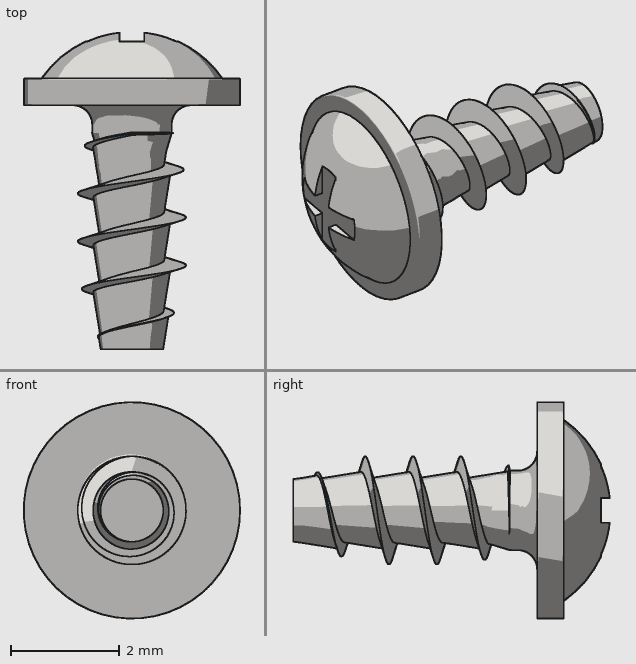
import cadquery as cq
import math


flange_radius = 2.0
flange_thickness = 0.5
flange_edge_fillet = 0.025
dome_base_radius = 1.675
head_height = 1.345
slot_width = 0.45
slot_depth = 0.165

neck_radius = 0.74
neck_length = 0.51
neck_fillet = 0.35
shank_length = 4.505
tip_radius = 0.58
tip_taper = 0.16
tip_recess_radius = 0.545
tip_recess_depth = 0.045

floor_large_radius = 0.725
floor_small_radius = 0.585
floor_share = 0.98
floor_extra_turns = 0.75
lead_cone_length = 0.51

turn_count = 4.5
tip_turns = 1.5
full_turns = 2.0
head_turns = turn_count - tip_turns - full_turns
runout_turns = 0.35
runout_rise = 0.01
start_crest_radius = 0.555
crest_radius = 1.0
head_end_crest_radius = 0.83
flank_angle = 15.0
buried_radius = 0.47
start_angle = 90.0

pitch = (shank_length - neck_length - runout_rise) / turn_count


def revolved(points):
    """Solid of revolution about Z from (radius, height) corners."""
    return cq.Workplane("XZ").polyline(points).close().revolve(360, (0, 0, 0), (0, 1, 0))


def head():
    """Round flange carrying a spherical dome with two crossed slots."""
    flange = cq.Workplane("XY").circle(flange_radius).extrude(flange_thickness)
    flange = flange.edges().fillet(flange_edge_fillet)

    corner_radius = slot_width / math.sqrt(2)
    corner_height = head_height - flange_thickness
    centre_drop = (dome_base_radius**2 - corner_radius**2 - corner_height**2) / (2 * corner_height)
    sphere_radius = math.hypot(dome_base_radius, centre_drop)
    sphere_centre = flange_thickness - centre_drop

    sphere = cq.Workplane("XY").sphere(sphere_radius).translate((0, 0, sphere_centre))
    keep_zone = (
        cq.Workplane("XY")
        .workplane(offset=flange_thickness / 2)
        .circle((dome_base_radius + flange_radius) / 2)
        .extrude(head_height)
    )
    body = flange.union(sphere.intersect(keep_zone))

    slot_length = 2 * flange_radius
    for size_x, size_y in ((slot_length, slot_width), (slot_width, slot_length)):
        slot = cq.Workplane("XY").workplane(offset=head_height - slot_depth).rect(size_x, size_y)
        body = body.cut(slot.extrude(head_height))
    return body


def neck():
    """Plain cylinder under the head, flared into the flange by a concave fillet."""
    flare_radius = neck_radius + neck_fillet
    arc_offset = neck_fillet * (1 - math.sqrt(0.5))
    overlap = flange_thickness / 2
    return (
        cq.Workplane("XZ")
        .moveTo(0, overlap)
        .lineTo(flare_radius, overlap)
        .lineTo(flare_radius, 0)
        .threePointArc((neck_radius + arc_offset, -arc_offset), (neck_radius, -neck_fillet))
        .lineTo(neck_radius, -neck_length)
        .lineTo(0, -neck_length)
        .close()
        .revolve(360, (0, 0, 0), (0, 1, 0))
    )


def helix(start, end, turns):
    """Right-handed helix edge from one (radius, height) to a higher one, starting on +X."""
    growth = end[0] - start[0]
    rise = end[1] - start[1]
    slant = math.hypot(growth, rise)
    cone = {"angle": math.degrees(math.atan2(growth, rise))} if growth else {}
    wire = cq.Wire.makeHelix(slant / turns, slant, start[0], cq.Vector(0, 0, start[1]), **cone)
    return wire.Edges()[0]


def helical_solid(start_section, end_section, angle, turns):
    """Solid bounded by helicoids joining two sections of matching (radius, height) corners."""
    edges = [helix(start, end, turns) for start, end in zip(start_section, end_section)]
    faces = [cq.Face.makeRuledSurface(edge, edges[i - 1]) for i, edge in enumerate(edges)]
    for edge_end in (0, 1):
        corners = [edge.positionAt(edge_end) for edge in edges]
        faces.append(cq.Face.makeFromWires(cq.Wire.makePolygon(corners, close=True)))
    solid = cq.Solid.makeSolid(cq.Shell.makeShell(faces)).fix()
    return cq.Workplane(obj=solid).rotate((0, 0, 0), (0, 0, 1), angle)


def floor_section(top):
    """Section of the sloping floor over one pitch."""
    bottom = top - floor_share * pitch
    return [
        (buried_radius, top),
        (floor_large_radius, top),
        (floor_small_radius, bottom),
        (buried_radius, bottom),
    ]


def shank_core():
    """Core with the helical sloping floor, a lead-in cone at the neck and a conical tip."""
    cylinder = cq.Workplane("XY").circle(floor_small_radius).extrude(-shank_length)

    floor_turns = turn_count + floor_extra_turns
    sloping_floor = helical_solid(
        floor_section(-shank_length),
        floor_section(-shank_length + floor_turns * pitch),
        start_angle,
        floor_turns,
    )

    lead_cone_end = -neck_length - lead_cone_length
    lead_cone = revolved([
        (0, -neck_length),
        (neck_radius, -neck_length),
        (floor_small_radius, lead_cone_end),
        (0, lead_cone_end),
    ])

    envelope_top_radius = tip_radius + tip_taper * (shank_length - neck_length)
    tip_envelope = revolved([
        (0, -neck_length),
        (envelope_top_radius, -neck_length),
        (tip_radius, -shank_length),
        (0, -shank_length),
    ])
    return cylinder.union(sloping_floor).union(lead_cone).intersect(tip_envelope)


def thread_section(crest, height):
    """Triangular thread section with a sharp crest."""
    half_width = (crest - buried_radius) * math.tan(math.radians(flank_angle))
    return [
        (buried_radius, height - half_width),
        (crest, height),
        (buried_radius, height + half_width),
    ]


def thread():
    """Thread that grows from the tip, runs at full size, shrinks and runs out at the neck."""
    stretches = [
        (start_crest_radius, crest_radius, tip_turns * pitch, tip_turns),
        (crest_radius, crest_radius, full_turns * pitch, full_turns),
        (crest_radius, head_end_crest_radius, head_turns * pitch, head_turns),
        (head_end_crest_radius, neck_radius, runout_rise, runout_turns),
    ]
    height = -shank_length
    angle = start_angle
    body = cq.Workplane()
    for start_crest, end_crest, rise, turns in stretches:
        start_section = thread_section(start_crest, height)
        end_section = thread_section(end_crest, height + rise)
        body = body.add(helical_solid(start_section, end_section, angle, turns))
        height += rise
        angle += 360 * turns
    return body.combine()


def shank():
    """Threaded core cut flat at the tip, with a shallow conical recess in the tip face."""
    trim_zone = cq.Workplane("XY").circle(flange_radius).extrude(-shank_length)
    below_tip = -shank_length - pitch
    recess = revolved([
        (0, tip_recess_depth - shank_length),
        (tip_recess_radius, -shank_length),
        (tip_recess_radius, below_tip),
        (0, below_tip),
    ])
    return shank_core().union(thread()).intersect(trim_zone).cut(recess)


screw = head().union(neck()).union(shank())
result = screw.rotate((0, 0, 0), (1, 0, 0), -90)